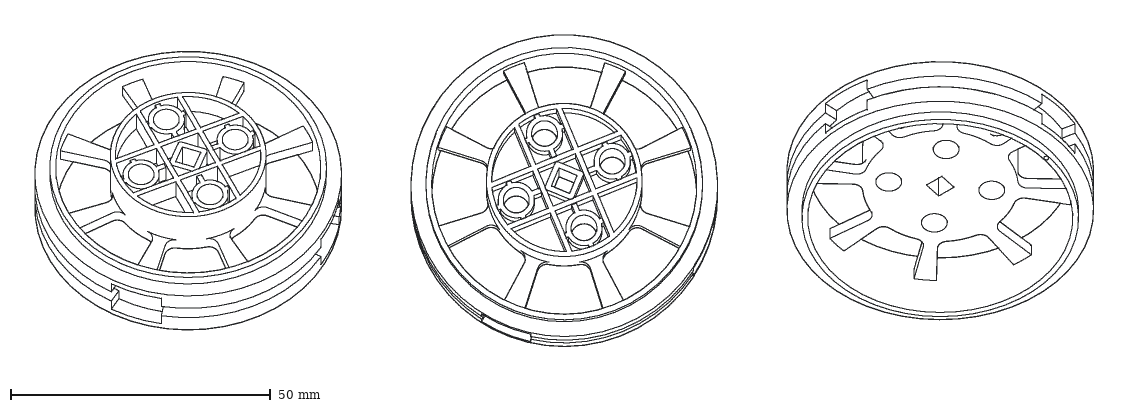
import cadquery as cq
import math

rim_height = 15.0
rim_inner_radius = 25.5
rim_outer_radius = 26.6
rim_middle_radius = (rim_inner_radius + rim_outer_radius) / 2
flange_radius = 29.5
flange_inset = 2.05
flange_width = 3.95

notch_count = 4
notch_angle = 20.0
notch_height = 8.0
notch_reach = 1.2 * flange_radius

hub_radius = 15.0
hub_wall = 1.0
hub_top = 19.0
hub_bottom = 8.75
pocket_depth = 4.7
pocket_radius = hub_radius - hub_wall
pocket_floor = hub_top - pocket_depth

diagonal_angle = 45.0
rib_thickness = 1.0
rib_offset = 4.4
tube_recess = 0.75
tube_height = pocket_depth - tube_recess
pin_count = 4
pin_circle_radius = 10.0
pin_hole_diameter = 4.95
pin_tube_diameter = 6.95
axle_hole_side = 3.8
axle_tube_side = 5.9

spoke_count = 8
spoke_top = 11.4
spoke_root_width = 2.5
spoke_tip_width = 4.35
spoke_fillet = 1.9

pip_radius = 0.5
pip_height = 0.4


def plane_at(height):
    return cq.Workplane("XY").workplane(offset=height)


def disc(radius, bottom, top):
    return plane_at(bottom).circle(radius).extrude(top - bottom)


def repeat_around(shape, count):
    """Copies of a shape, evenly spaced about the Z axis and joined."""
    copies = shape
    for i in range(1, count):
        copies = copies.union(shape.rotate((0, 0, 0), (0, 0, 1), i * 360 / count))
    return copies


def notches():
    """Wedges with radial sides, reaching from the groove floor past the flanges."""
    half_width = notch_reach * math.tan(math.radians(notch_angle / 2))
    wedge = (
        plane_at((rim_height - notch_height) / 2)
        .polyline([(0, 0), (notch_reach, -half_width), (notch_reach, half_width)])
        .close()
        .extrude(notch_height)
    )
    return repeat_around(wedge, notch_count).cut(disc(rim_outer_radius, 0, rim_height))


def wheel_rim():
    rim = disc(rim_outer_radius, 0, rim_height)
    upper_flange_bottom = rim_height - flange_inset - flange_width
    for bottom in (flange_inset, upper_flange_bottom):
        rim = rim.union(disc(flange_radius, bottom, bottom + flange_width))
    return rim.cut(notches()).cut(disc(rim_inner_radius, 0, rim_height))


def spoke_half_width(radius):
    widening = (spoke_tip_width - spoke_root_width) / (rim_inner_radius - hub_radius)
    return (spoke_root_width + widening * (radius - hub_radius)) / 2


def spokes():
    """Spokes joined to the lower slice of the hub and filleted where they leave it."""
    inner_half = spoke_half_width(pocket_radius)
    outer_half = spoke_half_width(rim_middle_radius)
    outline = [
        (pocket_radius, -inner_half),
        (rim_middle_radius, -outer_half),
        (rim_middle_radius, outer_half),
        (pocket_radius, inner_half),
    ]
    spoke = plane_at(hub_bottom).polyline(outline).close().extrude(spoke_top - hub_bottom)
    spider = disc(hub_radius, hub_bottom, spoke_top).union(repeat_around(spoke, spoke_count))

    root_limit = (hub_radius + rim_inner_radius) / 2
    roots = spider.edges("|Z").filter(
        lambda edge: math.hypot(edge.Center().x, edge.Center().y) < root_limit
    )
    return roots.fillet(spoke_fillet)


def pocket_ribs():
    """Full-height rib grid, plus lower cross ribs that hold the pin tubes."""
    floor = plane_at(pocket_floor)
    grid_pair = (
        floor.pushPoints([(0, rib_offset), (0, -rib_offset)])
        .rect(2 * hub_radius, rib_thickness)
        .extrude(pocket_depth)
    )
    grid = grid_pair.union(grid_pair.rotate((0, 0, 0), (0, 0, 1), 90))

    radial_length = hub_radius - rib_offset
    radial_middle = rib_offset + radial_length / 2
    radial = floor.center(radial_middle, 0).rect(radial_length, rib_thickness).extrude(tube_height)
    crosswise = (
        floor.center(pin_circle_radius, 0)
        .rect(rib_thickness, 2 * rib_offset)
        .extrude(tube_height)
    )
    ribs = grid.union(repeat_around(radial.union(crosswise), pin_count))
    ribs = ribs.rotate((0, 0, 0), (0, 0, 1), diagonal_angle)
    return ribs.intersect(disc(hub_radius, pocket_floor, hub_top))


def pin_cylinders(diameter, bottom, height):
    return (
        plane_at(bottom)
        .polarArray(pin_circle_radius, diagonal_angle, 360, pin_count)
        .circle(diameter / 2)
        .extrude(height)
    )


def square_bar(side, bottom, height):
    return plane_at(bottom).rect(side, side).extrude(height)


def hub():
    hub_height = hub_top - hub_bottom
    body = disc(hub_radius, hub_bottom, hub_top).union(spokes())
    body = body.cut(disc(pocket_radius, pocket_floor, hub_top))
    body = body.union(pocket_ribs())
    body = body.union(square_bar(axle_tube_side, pocket_floor, tube_height))
    body = body.union(pin_cylinders(pin_tube_diameter, pocket_floor, tube_height))
    body = body.cut(square_bar(axle_hole_side, hub_bottom, hub_height))
    return body.cut(pin_cylinders(pin_hole_diameter, hub_bottom, hub_height))


def rim_pip():
    """Dome hanging below the middle of the rim wall on the +Y side."""
    dome = cq.Workplane("XY").sphere(pip_radius)
    return dome.translate((0, rim_middle_radius, pip_radius - pip_height))


result = wheel_rim().union(hub()).union(rim_pip())